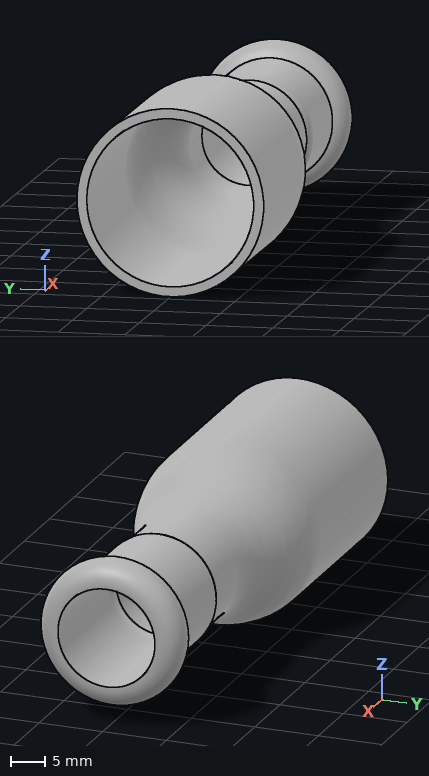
import cadquery as cq
import math


spigot_diameter = 28.0
spigot_bore = 25.0
neck_diameter = 17.2
neck_bore = 14.2
socket_diameter = 18.3
socket_bore = 15.3
bead_diameter = 22.8

length = 76.7
shoulder_start = 27.15
cone_start = 35.3
cone_end = 38.9
neck_start = 46.0
step_start = 54.9
step_end = 56.7
bead_width = 6.6


def reducer_angle(drop):
    """Slope of the cone that joins the shoulder and neck arcs tangentially."""
    arc_length = (cone_start - shoulder_start) + (neck_start - cone_end)
    cone_length = cone_end - cone_start
    overall = arc_length + cone_length
    bisection_steps = 60
    low = 0.0
    high = math.atan(2 * drop / overall)
    for _ in range(bisection_steps):
        middle = (low + high) / 2
        reached = arc_length * math.tan(middle / 2) + cone_length * math.tan(middle)
        if reached < drop:
            low = middle
        else:
            high = middle
    return low


def turned_body(large_diameter, small_diameter, end_diameter, end_place):
    """Solid of revolution with a smooth reducer and a small step."""
    large = large_diameter / 2
    small = small_diameter / 2
    end = end_diameter / 2

    angle = reducer_angle(large - small)
    shoulder_radius = (cone_start - shoulder_start) / math.sin(angle)
    neck_radius = (neck_start - cone_end) / math.sin(angle)

    def shoulder_point(turn):
        x = shoulder_start + shoulder_radius * math.sin(turn)
        return x, large - shoulder_radius * (1 - math.cos(turn))

    def neck_point(turn):
        x = neck_start - neck_radius * math.sin(turn)
        return x, small + neck_radius * (1 - math.cos(turn))

    rise = end - small
    run = step_end - step_start
    step_radius = (run**2 + rise**2) / (2 * rise)
    half_turn = math.asin(run / step_radius) / 2
    step_middle = (
        step_end - step_radius * math.sin(half_turn),
        end - step_radius * (1 - math.cos(half_turn)),
    )

    profile = (
        cq.Workplane("XY")
        .moveTo(0, 0)
        .lineTo(0, large)
        .lineTo(shoulder_start, large)
        .threePointArc(shoulder_point(angle / 2), shoulder_point(angle))
        .lineTo(*neck_point(angle))
        .threePointArc(neck_point(angle / 2), (neck_start, small))
        .lineTo(step_start, small)
        .threePointArc(step_middle, (step_end, end))
        .lineTo(end_place, end)
        .lineTo(end_place, 0)
        .close()
    )
    return profile.revolve(360, (0, 0, 0), (1, 0, 0))


def bead():
    """Rounded collar around the mouth of the socket."""
    round_radius = bead_width / 2
    ring_radius = bead_diameter / 2 - round_radius
    start = length - bead_width
    profile = (
        cq.Workplane("XY")
        .moveTo(start, 0)
        .lineTo(start, ring_radius)
        .threePointArc((length - round_radius, bead_diameter / 2), (length, ring_radius))
        .lineTo(length, 0)
        .close()
    )
    return profile.revolve(360, (0, 0, 0), (1, 0, 0))


outer = turned_body(spigot_diameter, neck_diameter, socket_diameter, length - bead_width / 2)
bore = turned_body(spigot_bore, neck_bore, socket_bore, length)

result = outer.union(bead()).cut(bore)